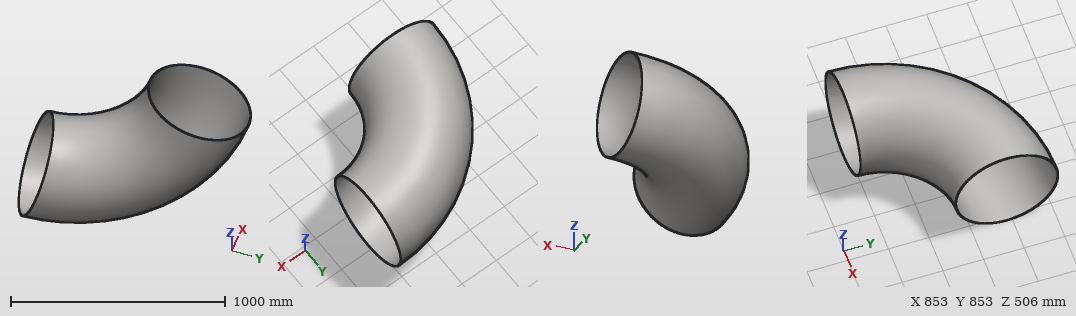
import cadquery as cq

outer_reach = 853.0
pipe_diameter = 506.0
wall_thickness = 3.0
bend_angle = 90.0

pipe_radius = pipe_diameter / 2
bore_radius = pipe_radius - wall_thickness
bend_radius = outer_reach - pipe_radius

pipe_section = (
    cq.Workplane("XZ")
    .center(-bend_radius, 0)
    .circle(pipe_radius)
    .circle(bore_radius)
)
axis_start = (bend_radius, 0)
axis_end = (bend_radius, -1)
result = pipe_section.revolve(bend_angle, axis_start, axis_end)